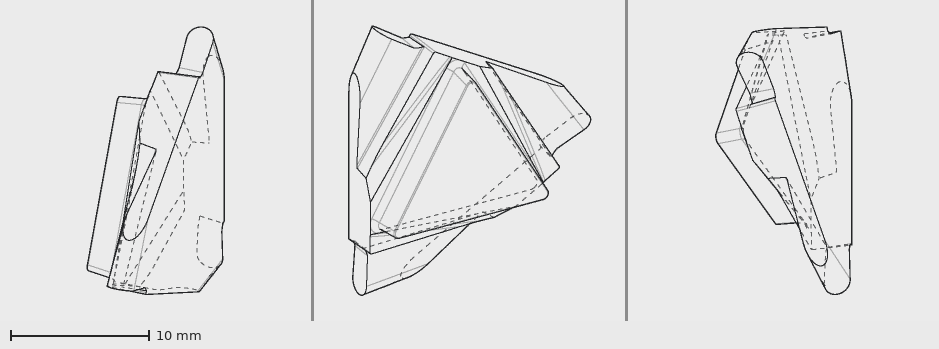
import cadquery as cq
import math

ARM_COUNT = 3
ARM_STEP = 360.0 / ARM_COUNT

TOTAL_HEIGHT = 5.54
PLATE_HEIGHT = 3.17

OUTER_INRADIUS = 7.08

WALL_INRADIUS = 6.05
WALL_DRAFT = 4.5
WALL_END_FILLET = 0.15
WALL_ROOT_FILLET = 0.1

FIRST_CORNER_ANGLE = 60.0
OUTER_TURN = 30.0

PAD_INRADIUS = 4.05
PAD_CORNER_RADIUS = 0.45
PAD_DRAFT = 3.5
PAD_FOOT_FILLET = 0.46
PAD_EDGE_FILLET = 0.08

FLOOR_REF_N = 6.12
FLOOR_REF_T = -3.5
FLOOR_REF_HEIGHT = 1.15
FLOOR_SLOPE_N = 0.066
FLOOR_SLOPE_T = 0.064
TIP_N = 10.34
TIP_T = 6.82
NOSE_RELIEF = 0.09
ARM_ROOT_N = 4.0
ARM_START_T = -6.0
ARM_END_T = 7.2

NOTCH_START_N = 5.95
NOTCH_MIDDLE = (6.38, 6.75)
NOTCH_ROOT = (6.88, 6.57)

GROOVE_START_T = -6.5
GROOVE_END_T = 7.5
VALLEY_REF_N = 5.78
VALLEY_REF_HEIGHT = 2.59
VALLEY_SLOPE_N = -0.18
VALLEY_FILLET = 0.6
VALLEY_RISE = 0.077
GROOVE_INNER_N = 4.9
GROOVE_INNER_SLOPE = -0.072
GROOVE_OUTER_N = 9.0
LAND_SLOPE_N = -0.03

CLEARANCE = 2.0


def plan_plane(height=0.0):
    """Plane parallel to the back face: local x is n, local y is t mirrored, normal is -X."""
    return cq.Plane(origin=(-height, 0, 0), xDir=(0, 0, -1), normal=(-1, 0, 0))


def section_plane(t):
    """Section across an arm at t: local x is n, local y is h."""
    return cq.Plane(origin=(0, t, 0), xDir=(0, 0, -1), normal=(0, 1, 0))


def around_axis(shape):
    """The shape repeated for every arm."""
    return [shape.rotate((0, 0, 0), (1, 0, 0), i * ARM_STEP) for i in range(ARM_COUNT)]


def triangle(height, inradius, turn=0.0):
    """Equilateral triangle with a side facing n, turned about the axis by `turn` degrees."""
    circumradius = 2 * inradius
    angles = [math.radians(FIRST_CORNER_ANGLE + turn + ARM_STEP * i) for i in range(ARM_COUNT)]
    points = [(circumradius * math.cos(a), circumradius * math.sin(a)) for a in angles]
    return cq.Workplane(plan_plane(height)).polyline(points).close()


def outer_prism(height):
    """Space inside the three long side faces."""
    return triangle(0, OUTER_INRADIUS, turn=OUTER_TURN).extrude(height)


def nearest(point):
    """Selector for the edge whose centre is closest to the point."""
    return cq.selectors.NearestToPointSelector(point)


def wall_n(height):
    """Distance from the axis to the drafted wall at the given height."""
    return WALL_INRADIUS + (PLATE_HEIGHT - height) * math.tan(math.radians(WALL_DRAFT))


def plate():
    """Thick centre with three drafted walls; its corners still run past the side faces."""
    return triangle(0, wall_n(0)).extrude(PLATE_HEIGHT, taper=WALL_DRAFT)


def pad():
    """Raised triangle with drafted sides, rounded corners and a softened top edge."""
    raised = (
        triangle(PLATE_HEIGHT, PAD_INRADIUS)
        .extrude(TOTAL_HEIGHT - PLATE_HEIGHT, taper=PAD_DRAFT)
    )
    raised = raised.faces("not |X").edges("not #X").fillet(PAD_CORNER_RADIUS)
    return raised.faces("<X").edges().fillet(PAD_EDGE_FILLET)


def floor_height(n, t):
    """Height of the sloping arm floor."""
    return FLOOR_REF_HEIGHT + FLOOR_SLOPE_N * (n - FLOOR_REF_N) + FLOOR_SLOPE_T * (t - FLOOR_REF_T)


def arm_section(t):
    """Arm cross-section at t.

    The nose arc is tangent to the back face and to the floor. At the inner end the floor
    curves up into the wall, and the rest of the profile is buried in the plate.
    """
    nose_n = TIP_N + NOSE_RELIEF * (t - TIP_T)
    slope = math.atan(FLOOR_SLOPE_N)
    radius = floor_height(nose_n, t) / (1 + FLOOR_SLOPE_N + 1 / math.cos(slope))
    centre_n = nose_n - radius
    floor_end = (centre_n - radius * math.sin(slope), radius + radius * math.cos(slope))
    root_height = floor_height(wall_n(0), t)
    root_top = root_height + WALL_ROOT_FILLET
    root_floor_n = wall_n(root_top) + WALL_ROOT_FILLET
    root_end = (wall_n(root_top), root_top)
    diagonal = WALL_ROOT_FILLET * math.sqrt(0.5)
    root_middle = (root_floor_n - diagonal, root_top - diagonal)

    return (
        cq.Workplane(section_plane(t))
        .moveTo(ARM_ROOT_N, 0)
        .lineTo(centre_n, 0)
        .threePointArc((nose_n, radius), floor_end)
        .lineTo(root_floor_n, root_height)
        .threePointArc(root_middle, root_end)
        .lineTo(ARM_ROOT_N, root_top)
        .close()
        .wire()
        .val()
    )


def ruled_solid(first, last):
    """Solid with straight rulings between two closed section wires."""
    return cq.Workplane(obj=cq.Solid.makeLoft([first, last], True))


def notch_cutter():
    """Space beyond the cutting face, with a concave round next to the wall."""
    far_t = ARM_END_T + CLEARANCE
    face_slope = (TIP_T - NOTCH_ROOT[1]) / (TIP_N - NOTCH_ROOT[0])
    far_n = TIP_N + CLEARANCE

    def plan(n, t):
        return (n, -t)

    return (
        cq.Workplane(plan_plane())
        .moveTo(*plan(NOTCH_START_N, OUTER_INRADIUS))
        .threePointArc(plan(*NOTCH_MIDDLE), plan(*NOTCH_ROOT))
        .lineTo(*plan(far_n, TIP_T + face_slope * CLEARANCE))
        .lineTo(*plan(far_n, far_t))
        .lineTo(*plan(NOTCH_START_N, far_t))
        .close()
        .extrude(PLATE_HEIGHT)
    )


def arm():
    """One arm, cut off by the long side faces and by the notch at its cutting face."""
    swept = ruled_solid(arm_section(ARM_START_T), arm_section(ARM_END_T))
    return swept.intersect(outer_prism(PLATE_HEIGHT)).cut(notch_cutter())


def groove_section(t):
    """Groove cross-section at t: steep inner flank, valley, then a nearly level land."""
    inner_n = GROOVE_INNER_N + GROOVE_INNER_SLOPE * t
    valley_n = VALLEY_REF_N + VALLEY_SLOPE_N * t
    valley_height = VALLEY_REF_HEIGHT + VALLEY_RISE * t
    land_height = valley_height + LAND_SLOPE_N * (GROOVE_OUTER_N - valley_n)
    points = [
        (inner_n, PLATE_HEIGHT),
        (valley_n, valley_height),
        (GROOVE_OUTER_N, land_height),
        (GROOVE_OUTER_N, TOTAL_HEIGHT),
        (inner_n, TOTAL_HEIGHT),
    ]
    return cq.Workplane(section_plane(t)).polyline(points).close().wire().val()


def groove_cutter():
    """Groove along the whole wall, rounded along its valley."""
    cutter = ruled_solid(groove_section(GROOVE_START_T), groove_section(GROOVE_END_T))
    valley = (-VALLEY_REF_HEIGHT, 0, -VALLEY_REF_N)
    return cutter.edges(nearest(valley)).fillet(VALLEY_FILLET)


def centre():
    """Plate and pad joined by a fillet around the foot of the pad, trimmed and grooved."""
    body = plate().union(pad())
    plate_top = body.faces("|X").faces("<X[1]").val()
    foot_edges = plate_top.innerWires()[0].Edges()
    body = body.newObject(foot_edges).fillet(PAD_FOOT_FILLET)
    body = body.intersect(outer_prism(TOTAL_HEIGHT))
    wall_end = cq.Vertex.makeVertex(-PLATE_HEIGHT / 2, OUTER_INRADIUS, -WALL_INRADIUS)
    for end in around_axis(wall_end):
        body = body.edges(nearest(end.toTuple())).fillet(WALL_END_FILLET)
    for cutter in around_axis(groove_cutter()):
        body = body.cut(cutter)
    return body


result = centre()
for single_arm in around_axis(arm()):
    result = result.union(single_arm)